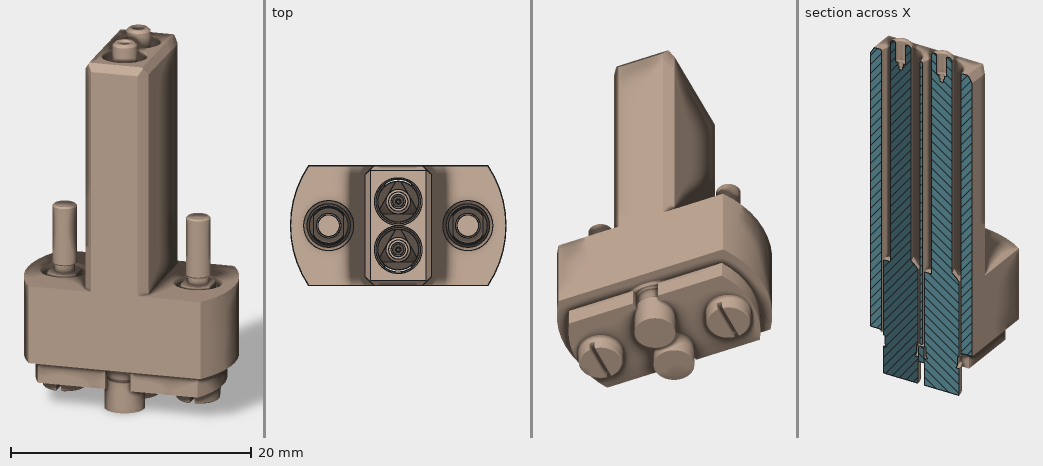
import cadquery as cq
import math

plate_bottom = 2.1
plate_top = 3.65
housing_bottom = 4.1
housing_top = 10.85
column_top = 30.8
contact_top = 32.0
screw_top = 16.65

housing_length = 17.95
housing_depth = 10.0
column_width = 5.5
column_corner = 0.75
column_rim_height = 0.67
column_rim_x = 0.45
column_rim_y = 0.4
boss_diameter = 8.0
boss_height = 0.3
boss_end_diameter = 7.8
contact_bore = 3.7
contact_bore_rim = 3.97

plate_radius = 8.0
plate_depth = 8.0
plate_slot_width = 2.25

contact_spacing = 4.0
contact_diameter = 3.4
contact_ledge = 2.6
contact_neck_diameter = 3.15
contact_neck_root = 2.8
contact_neck_chamfer = 0.3
contact_shoulder = housing_top
contact_dome_radius = 2.0
tip_diameter = 2.05
tip_chamfer = 0.22
tip_bore = 0.93
tip_bore_chamfer = 0.13
tip_bore_depth = 1.92
socket_diameter = 0.45
socket_depth = 0.32
socket_end_diameter = 0.31
socket_end_depth = 0.32

screw_offset = 5.8
screw_diameter = 2.05
screw_waist_diameter = 1.7
thread_bottom = 11.45
thread_chamfer = 0.13
head_diameter = 3.85
head_end_diameter = 3.65
head_bottom = 0.77
head_chamfer = 0.1
driver_slot_width = 0.45
driver_slot_depth = 0.65

sleeve_diameter = 3.2
sleeve_collar_diameter = 3.6
sleeve_collar_chamfer = 0.2
sleeve_collar_bottom = 7.68
sleeve_collar_top = 9.92
sleeve_tongue_diameter = 3.15
sleeve_tongue_chamfer = 0.1
sleeve_flat_width = 2.5
sleeve_slit_width = 0.77
sleeve_rim_diameter = 4.15

contact_places = [(0, side * contact_spacing / 2) for side in (-1, 1)]
screw_places = [(side * screw_offset, 0) for side in (-1, 1)]


def disc(diameter, bottom, top):
    """Upright cylinder about the Z axis."""
    return cq.Workplane("XY").workplane(offset=bottom).circle(diameter / 2).extrude(top - bottom)


def block(width, depth, bottom, top):
    """Box centred on the Z axis."""
    return cq.Workplane("XY").workplane(offset=bottom).rect(width, depth).extrude(top - bottom)


def turned(profile):
    """Solid of revolution about Z from (diameter, height) points, closed along the axis."""
    points = [(0, profile[0][1])]
    points += [(diameter / 2, height) for diameter, height in profile]
    points += [(0, profile[-1][1])]
    return cq.Workplane("XZ").polyline(points).close().revolve(360, (0, 0, 0), (0, 1, 0))


def flatted_disc(radius, depth, bottom, top):
    """Cylinder with its front and back cut flat."""
    return disc(2 * radius, bottom, top).intersect(block(2 * radius, depth, bottom, top))


def make_column():
    """Tall block with chamfered corners and a chamfered top rim."""
    rim_bottom = column_top - column_rim_height
    post = block(column_width, housing_depth, housing_bottom, column_top)
    post = post.edges("|Z").chamfer(column_corner)
    cap = (
        cq.Workplane("XY")
        .workplane(offset=rim_bottom)
        .rect(column_width, housing_depth)
        .workplane(offset=column_rim_height)
        .rect(column_width - 2 * column_rim_x, housing_depth - 2 * column_rim_y)
        .loft(ruled=True)
    )
    envelope = block(column_width, housing_depth, housing_bottom, rim_bottom).union(cap)
    return post.intersect(envelope)


def make_housing():
    """Flanged housing with a tapered boss, two contact bores and two stepped sleeve holes."""
    boss_bottom = housing_bottom - boss_height
    boss = turned([(boss_end_diameter, boss_bottom), (boss_diameter, housing_bottom)])
    body = flatted_disc(housing_length / 2, housing_depth, housing_bottom, housing_top)
    body = body.union(make_column()).union(boss)

    bore_rim = (contact_bore_rim - contact_bore) / 2
    bore = turned([
        (contact_bore, boss_bottom),
        (contact_bore, column_top - bore_rim),
        (contact_bore_rim, column_top),
    ])
    for x, y in contact_places:
        body = body.cut(bore.translate((x, y, 0)))

    hole_rim = (sleeve_rim_diameter - sleeve_collar_diameter) / 2
    sleeve_hole = turned([
        (sleeve_diameter, housing_bottom),
        (sleeve_diameter, sleeve_collar_bottom),
        (sleeve_collar_diameter, sleeve_collar_bottom),
        (sleeve_collar_diameter, housing_top - hole_rim),
        (sleeve_rim_diameter, housing_top),
    ])
    for x, y in screw_places:
        body = body.cut(sleeve_hole.translate((x, y, 0)))
    return body


def make_plate():
    """Retaining plate with contact holes that open to its front and back edges."""
    plate = flatted_disc(plate_radius, plate_depth, plate_bottom, plate_top)
    for x, y in contact_places:
        plate = plate.cut(disc(contact_diameter, plate_bottom, plate_top).translate((x, y, 0)))
        slot = block(plate_slot_width, plate_depth, plate_bottom, plate_top)
        slot_shift = y + math.copysign(plate_depth / 2, y)
        plate = plate.cut(slot.translate((x, slot_shift, 0)))
    for x, y in screw_places:
        plate = plate.cut(disc(screw_diameter, plate_bottom, plate_top).translate((x, y, 0)))
    return plate


def make_contact():
    """Round contact with a necked base, a three-sided dome and a bored tip."""
    base = turned([
        (contact_diameter, 0),
        (contact_diameter, contact_ledge),
        (contact_neck_root, contact_ledge),
        (contact_neck_diameter, contact_ledge + contact_neck_chamfer),
        (contact_neck_diameter, plate_top),
        (contact_diameter, plate_top),
        (contact_diameter, contact_shoulder),
    ])

    base_radius = contact_diameter / 2
    dome_center = contact_shoulder - math.sqrt(contact_dome_radius**2 - base_radius**2)
    dome_top = dome_center + contact_dome_radius
    prism = (
        cq.Workplane("XY")
        .workplane(offset=contact_shoulder)
        .polygon(3, 2 * tip_diameter)
        .extrude(dome_top - contact_shoulder)
        .rotate((0, 0, 0), (0, 0, 1), 90)
    )
    dome = cq.Workplane("XY").sphere(contact_dome_radius).translate((0, 0, dome_center))
    dome = dome.intersect(disc(contact_diameter, contact_shoulder, dome_top)).intersect(prism)

    tip = disc(tip_diameter, contact_shoulder, contact_top).faces(">Z").chamfer(tip_chamfer)
    bore_bottom = contact_top - tip_bore_depth
    socket_bottom = bore_bottom - socket_depth
    bore = turned([
        (socket_end_diameter, socket_bottom - socket_end_depth),
        (socket_end_diameter, socket_bottom),
        (socket_diameter, socket_bottom),
        (socket_diameter, bore_bottom),
        (tip_bore, bore_bottom),
        (tip_bore, contact_top - tip_bore_chamfer),
        (tip_bore + 2 * tip_bore_chamfer, contact_top),
    ])
    return base.union(dome).union(tip).cut(bore)


def make_screw():
    """Slotted captive screw with a waist below its thread."""
    thread = disc(screw_diameter, thread_bottom, screw_top).faces("<Z or >Z").chamfer(thread_chamfer)
    shank = disc(screw_diameter, plate_bottom, sleeve_collar_top)
    waist = disc(screw_waist_diameter, sleeve_collar_top, thread_bottom)
    head = turned([
        (head_end_diameter - 2 * head_chamfer, head_bottom),
        (head_end_diameter, head_bottom + head_chamfer),
        (head_diameter, plate_bottom),
    ])
    slot = block(driver_slot_width, head_diameter, head_bottom, head_bottom + driver_slot_depth)
    return head.cut(slot).union(shank).union(waist).union(thread)


def make_sleeve():
    """Sleeve with a slit foot, a collar and a tongue with two flats."""
    sleeve = turned([
        (sleeve_diameter, plate_top),
        (sleeve_diameter, sleeve_collar_bottom),
        (sleeve_collar_diameter, sleeve_collar_bottom),
        (sleeve_collar_diameter, sleeve_collar_top - sleeve_collar_chamfer),
        (sleeve_collar_diameter - 2 * sleeve_collar_chamfer, sleeve_collar_top),
    ])
    tongue = disc(sleeve_tongue_diameter, sleeve_collar_top, housing_top)
    tongue = tongue.faces(">Z").chamfer(sleeve_tongue_chamfer)
    flats = block(sleeve_flat_width, sleeve_tongue_diameter, sleeve_collar_top, housing_top)
    slit = block(sleeve_slit_width, sleeve_diameter, plate_top, housing_bottom)
    screw_bore = turned([
        (screw_diameter, plate_top),
        (screw_diameter, sleeve_collar_top),
        (screw_waist_diameter, sleeve_collar_top),
        (screw_waist_diameter, housing_top),
    ])
    return sleeve.union(tongue.intersect(flats)).cut(slit).cut(screw_bore)


housing = make_housing()
plate = make_plate()
contacts = [make_contact().translate((x, y, 0)) for x, y in contact_places]
screws = [make_screw().translate((x, y, 0)) for x, y in screw_places]
sleeves = [make_sleeve().translate((x, y, 0)) for x, y in screw_places]

result = cq.Compound.makeCompound([
    housing.solids().val(),
    plate.solids().val(),
    *[contact.solids().val() for contact in contacts],
    *[screw.solids().val() for screw in screws],
    *[sleeve.solids().val() for sleeve in sleeves],
])